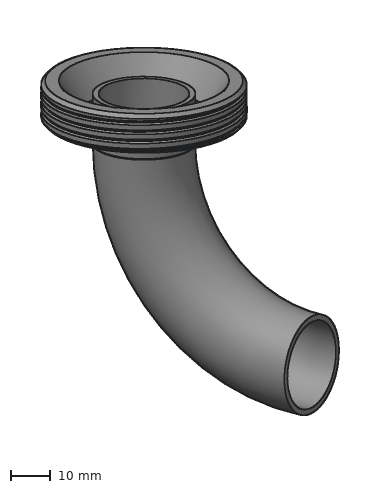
import cadquery as cq

total_height = 79.65
pipe_radius = 13.0
bore_radius = 11.5
bend_radius = 50.0
outlet_height = pipe_radius
bend_start = outlet_height + bend_radius

collar_radius = 13.55
collar_chamfer = 0.5

flange_diameter = 52.0
flange_radius = flange_diameter / 2
rim_chamfer = 1.0
threaded_height = 10.5
flange_height = 12.0

cup_top_radius = 21.5
cup_floor_radius = 16.0
cup_depth = 9.55
cup_wall_height = 1.0
inner_pipe_drop = 3.5

thread_pitch = 2.5
thread_turns = 3.9
thread_top_angle = 198.0
thread_top_drop = 0.4
groove_depth = 0.6
groove_mouth = 1.1
groove_root = 0.3
cutter_overlap = 0.5
seam_angle = 90.0

flange_bottom = total_height - flange_height
thread_bottom = total_height - threaded_height
rim_radius = flange_radius - rim_chamfer
cup_floor = total_height - cup_depth


def make_flange():
    """Revolve the flange, its cup, the collar and the inner pipe end."""
    profile = [
        (0, bend_start),
        (pipe_radius, bend_start),
        (collar_radius, bend_start + collar_chamfer),
        (collar_radius, flange_bottom),
        (rim_radius, thread_bottom),
        (flange_radius, thread_bottom + rim_chamfer),
        (flange_radius, total_height - rim_chamfer),
        (rim_radius, total_height),
        (cup_top_radius, total_height),
        (cup_floor_radius, cup_floor + cup_wall_height),
        (cup_floor_radius, cup_floor),
        (pipe_radius, cup_floor),
        (pipe_radius, total_height - inner_pipe_drop),
        (0, total_height - inner_pipe_drop),
    ]
    flange = cq.Workplane("XZ").polyline(profile).close().revolve(360, (0, 0), (0, 1))
    return flange.rotate((0, 0, 0), (0, 0, 1), seam_angle)


def make_bend(radius):
    """Quarter-turn solid rod from the collar to the outlet."""
    return (
        cq.Workplane("XY", origin=(0, 0, bend_start))
        .circle(radius)
        .revolve(90, (bend_radius, 0.8), (bend_radius, 0))
    )


def make_bore():
    straight = (
        cq.Workplane("XY", origin=(0, 0, bend_start))
        .circle(bore_radius)
        .extrude(total_height - bend_start)
    )
    return straight.union(make_bend(bore_radius))


def make_thread_cutter():
    """Sweep the groove section along the helix, widening beyond the crest."""
    travel = thread_pitch * thread_turns
    start_height = total_height - thread_top_drop - travel
    start_angle = thread_top_angle - 360 * thread_turns
    flank_slope = (groove_mouth - groove_root) / 2 / groove_depth
    outer_half = groove_mouth / 2 + cutter_overlap * flank_slope
    root_radius = flange_radius - groove_depth
    outer_radius = flange_radius + cutter_overlap
    helix = cq.Wire.makeHelix(thread_pitch, travel, flange_radius)
    section = [
        (root_radius, -groove_root / 2),
        (outer_radius, -outer_half),
        (outer_radius, outer_half),
        (root_radius, groove_root / 2),
    ]
    cutter = cq.Workplane("XZ").polyline(section).close().sweep(cq.Workplane(helix), isFrenet=True)
    return cutter.rotate((0, 0, 0), (0, 0, 1), start_angle).translate((0, 0, start_height))


threaded_flange = make_flange().cut(make_thread_cutter())
result = threaded_flange.union(make_bend(pipe_radius)).cut(make_bore())